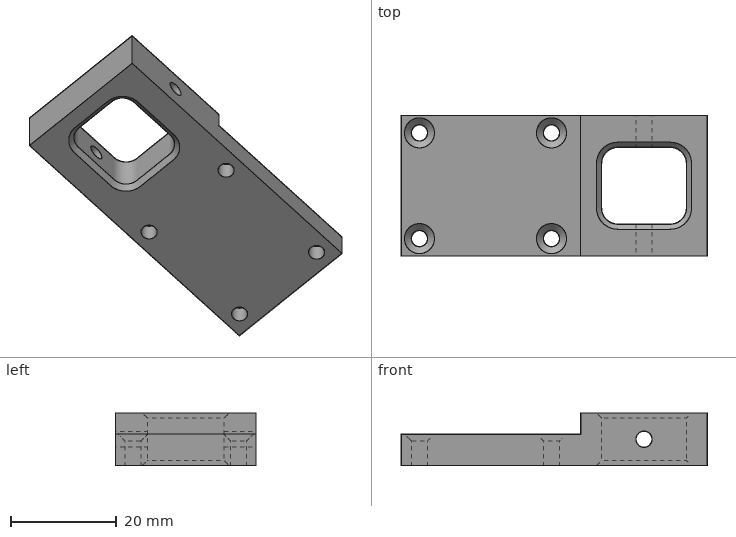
import cadquery as cq

length = 58.0
width = 26.7
thick_height = 10.0
plate_height = 6.0
step_x = 34.0

hole_diameter = 3.0
sink_diameter = 5.7
sink_angle = 90
first_hole_x = 3.5
hole_pitch_x = 25.0
hole_pitch_y = 20.0
first_hole_y = (width - hole_pitch_y) / 2

window_length = 16.0
window_width = 14.5
window_center_x = 46.0
window_center_y = width / 2
window_corner_radius = 3.0
window_chamfer = 1.0

cross_diameter = 3.0
cross_x = window_center_x
cross_z = thick_height / 2


def make_body():
    """Extrude the stepped side profile across the width."""
    profile = [
        (0, 0),
        (length, 0),
        (length, thick_height),
        (step_x, thick_height),
        (step_x, plate_height),
        (0, plate_height),
    ]
    return cq.Workplane("XZ").polyline(profile).close().extrude(-width)


def cut_mounting_holes(body):
    """Cut the 2 x 2 pattern of holes countersunk from the plate's top face."""
    centers = [
        (first_hole_x + column * hole_pitch_x, first_hole_y + row * hole_pitch_y)
        for column in range(2)
        for row in range(2)
    ]
    return (
        body.copyWorkplane(cq.Workplane("XY", origin=(0, 0, plate_height)))
        .pushPoints(centers)
        .cskHole(hole_diameter, sink_diameter, sink_angle)
    )


def make_window():
    """Make the cutter for the window, flared at its top and bottom edges."""
    straight = (
        cq.Workplane("XY")
        .rect(window_length, window_width)
        .extrude(thick_height)
        .edges("|Z")
        .fillet(window_corner_radius)
    )
    top_flare = (
        straight.faces(">Z")
        .wires()
        .toPending()
        .offset2D(window_chamfer)
        .extrude(-window_chamfer, taper=45, combine=False)
    )
    bottom_flare = top_flare.mirror("XY", (0, 0, thick_height / 2))
    cutter = straight.union(top_flare).union(bottom_flare)
    return cutter.translate((window_center_x, window_center_y, 0))


def make_cross_hole():
    """Make the cutter for the hole running along Y."""
    return (
        cq.Workplane("XZ")
        .center(cross_x, cross_z)
        .circle(cross_diameter / 2)
        .extrude(-width)
    )


result = cut_mounting_holes(make_body()).cut(make_window()).cut(make_cross_hole())